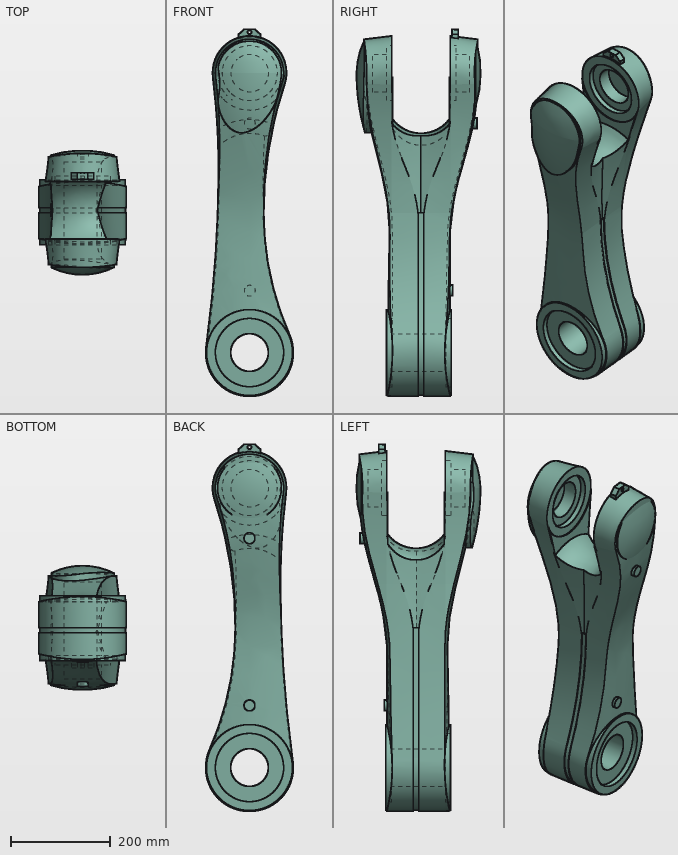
import cadquery as cq
import math

TOTAL_HEIGHT = 735.5
FOOT_DIAMETER = 176.0
FOOT_RADIUS = FOOT_DIAMETER / 2
HEAD_RADIUS = 74.0
HEAD_Z = 560.0

RIGHT_WAIST = (29.0, 279.5)
LEFT_WAIST = (-62.5, 368.0)

SHANK_BACK_Y = 58.0
SHANK_FRONT_Y = -63.0
FOOT_FRONT_Y = -68.0
HEAD_BACK_Y = 113.0
HEAD_FRONT_Y = -115.0
BACK_FLARE_Z = (228.0, 537.0)
FRONT_FLARE_Z = (243.0, 555.0)
FACE_BOTTOM_Z = -110.0
FACE_TOP_Z = 654.5
FACE_SECTIONS = 14
CROWN_RADIUS = 368.0
CROWN_HALF_WIDTH = 95.5

SLOT_HALF_WIDTH = 57.0
HEAD_FACE_Y = 58.0
SADDLE_Z = 439.0
SADDLE_RADIUS = 71.0
SADDLE_DROP = 26.0
DRAFT_START_Y = 59.0
DRAFT_ANGLE = 7.0
ARM_END_Y = 147.0

SCALLOP_SECTIONS = [(279.5, 6.0), (316.0, 12.5), (353.0, 24.0), (390.0, 39.0), (426.5, 51.5), (463.0, 59.0)]
RIGHT_SCALLOP_DEPTHS = [1.5, 3.0, 5.0, 9.0, 13.0, 16.0]
LEFT_SCALLOP_DEPTHS = [1.5, 1.5, 2.0, 3.0, 4.0, 4.5]
SCALLOP_REACH = 15.0

GROOVE_WIDTH = 10.0
GROOVE_DEPTH = 2.0
GROOVE_TOP_Z = 279.5

BOSS_RADIUS = 86.0
BOSS_BACK_Y = 61.0
BOSS_FRONT_Y = -69.0
BORE_RADIUS = 37.5
FOOT_RECESS_RADIUS = 68.5
HEAD_RECESS_RADIUS = 55.0
RECESS_DEPTH = 11.0
HEAD_BORE_DEPTH = 28.0

DOME_RADIUS = 64.0
DOME_BASE_Y = 88.0
BACK_DOME_Y = 120.0
BACK_DOME_CURVE = 213.0
CAP_Y = -129.5
CAP_CURVE = 140.0
CAP_LENGTH_CURVE = 426.5
CAP_SWEEP_ANGLE = 45.0
CAP_SPLIT_ANGLE = 10.0
CAP_TAIL = [(55.0, 510.0), (33.0, 469.0), (6.5, 446.5), (-19.0, 440.0), (-50.0, 462.0), (-62.5, 499.0)]

LUG_Y = (62.0, 75.0)
LUG_HALF_WIDTH = 22.0
LUG_ROOT_Z = 623.0
LUG_TOP_HALF_WIDTH = 10.0
LUG_SHOULDER_Z = 637.0
LUG_HOLE_RADIUS = 4.0
LUG_HOLE_Z = 641.0
LUG_TOP_Z = TOTAL_HEIGHT - FOOT_RADIUS

PLUGS = [(459.0, 112.5), (124.0, 64.0)]
PLUG_RADIUS = 11.0
PLUG_LENGTH = 22.0


def cylinder_y(radius, z, y_start, y_end):
    """Cylinder along Y at x = 0."""
    direction = cq.Vector(0, math.copysign(1, y_end - y_start), 0)
    start = cq.Vector(0, y_start, z)
    return cq.Workplane(cq.Solid.makeCylinder(radius, abs(y_end - y_start), start, direction))


def above(z):
    """Block that covers everything higher than z."""
    return cq.Workplane("XY", origin=(0, 0, z)).rect(TOTAL_HEIGHT, TOTAL_HEIGHT).extrude(TOTAL_HEIGHT)


def xz_plane(y):
    """Sketch plane with X right and Z up, extruding toward -Y."""
    return cq.Workplane("XZ", origin=(0, y, 0))


def flank_radius(waist, end_radius, end_z):
    """Radius of the arc upright at the waist and tangent to an end circle."""
    reach = abs(waist[0])
    height = end_z - waist[1]
    return (height**2 + reach**2 - end_radius**2) / (2 * (end_radius - reach))


def tangent_point(waist, end_radius, end_z):
    """Point where the flank arc meets the end circle."""
    radius = flank_radius(waist, end_radius, end_z)
    centre_x = waist[0] + math.copysign(radius, waist[0])
    share = end_radius / (radius + end_radius)
    return (centre_x * share, end_z + (waist[1] - end_z) * share)


def flank_x(waist, z):
    """X of a flank at height z."""
    end_radius, end_z = (HEAD_RADIUS, HEAD_Z) if z > waist[1] else (FOOT_RADIUS, 0)
    radius = flank_radius(waist, end_radius, end_z)
    bulge = radius - math.sqrt(radius**2 - (z - waist[1]) ** 2)
    return waist[0] + math.copysign(bulge, waist[0])


def flank_middle(waist, end_point):
    """Point on a flank halfway up between the waist and an end point."""
    z = (waist[1] + end_point[1]) / 2
    return (flank_x(waist, z), z)


def side_outline(y):
    """Closed outline of the bar: foot circle, head circle and hollow flanks."""
    foot_right = tangent_point(RIGHT_WAIST, FOOT_RADIUS, 0)
    head_right = tangent_point(RIGHT_WAIST, HEAD_RADIUS, HEAD_Z)
    head_left = tangent_point(LEFT_WAIST, HEAD_RADIUS, HEAD_Z)
    foot_left = tangent_point(LEFT_WAIST, FOOT_RADIUS, 0)
    return (
        xz_plane(y)
        .moveTo(*foot_right)
        .threePointArc(flank_middle(RIGHT_WAIST, foot_right), RIGHT_WAIST)
        .threePointArc(flank_middle(RIGHT_WAIST, head_right), head_right)
        .threePointArc((0, HEAD_Z + HEAD_RADIUS), head_left)
        .threePointArc(flank_middle(LEFT_WAIST, head_left), LEFT_WAIST)
        .threePointArc(flank_middle(LEFT_WAIST, foot_left), foot_left)
        .threePointArc((0, -FOOT_RADIUS), foot_right)
        .close()
    )


def make_blank():
    """Bar outline, straight in the middle and drafted toward the arm tips."""
    middle = side_outline(DRAFT_START_Y).extrude(2 * DRAFT_START_Y)
    draft_length = ARM_END_Y - DRAFT_START_Y
    front = side_outline(-DRAFT_START_Y).extrude(draft_length, taper=DRAFT_ANGLE)
    back = front.mirror("XZ")
    return middle.union(front).union(back)


def flare(z, z_range):
    """Smooth rise from 0 to 1 over a height range."""
    share = (z - z_range[0]) / (z_range[1] - z_range[0])
    share = min(max(share, 0), 1)
    return (1 - math.cos(math.pi * share)) / 2


def back_face_y(z):
    """Y of the back face at x = 0."""
    return SHANK_BACK_Y + (HEAD_BACK_Y - SHANK_BACK_Y) * flare(z, BACK_FLARE_Z)


def front_face_y(z):
    """Y of the front face at x = 0, leaning inward from the foot up to the flare."""
    lean = max(1 - max(z, 0) / FRONT_FLARE_Z[0], 0)
    shank_y = SHANK_FRONT_Y + (FOOT_FRONT_Y - SHANK_FRONT_Y) * lean
    return shank_y + (HEAD_FRONT_Y - SHANK_FRONT_Y) * flare(z, FRONT_FLARE_Z)


def make_crowned_slab():
    """Loft between the front and back faces, both slightly crowned across X."""
    sag = CROWN_RADIUS - math.sqrt(CROWN_RADIUS**2 - CROWN_HALF_WIDTH**2)
    spacing = (FACE_TOP_Z - FACE_BOTTOM_Z) / (FACE_SECTIONS - 1)
    wires = []
    for index in range(FACE_SECTIONS):
        z = FACE_BOTTOM_Z + index * spacing
        back_y = back_face_y(z)
        front_y = front_face_y(z)
        section = (
            cq.Workplane("XY", origin=(0, 0, z))
            .moveTo(-CROWN_HALF_WIDTH, front_y + sag)
            .threePointArc((0, front_y), (CROWN_HALF_WIDTH, front_y + sag))
            .lineTo(CROWN_HALF_WIDTH, back_y - sag)
            .threePointArc((0, back_y), (-CROWN_HALF_WIDTH, back_y - sag))
            .close()
        )
        wires.append(section.val())
    return cq.Workplane(cq.Solid.makeLoft(wires))


def make_cap_outline():
    """Teardrop outline of the front cap."""
    angle = math.radians(CAP_SPLIT_ANGLE)
    right = (DOME_RADIUS * math.cos(angle), HEAD_Z - DOME_RADIUS * math.sin(angle))
    left = (-right[0], 2 * HEAD_Z - right[1])
    down = (-math.sin(angle), -math.cos(angle))
    up = (-math.sin(angle), math.cos(angle))
    return (
        xz_plane(-DOME_BASE_Y)
        .moveTo(*left)
        .threePointArc((0, HEAD_Z + DOME_RADIUS), right)
        .spline(CAP_TAIL + [left], tangents=[down, up], includeCurrent=True)
        .close()
    )


def make_front_cap():
    """Teardrop cap, spherical above the head axis and stretched along Z below it."""
    prism = make_cap_outline().extrude(ARM_END_Y)
    sphere = cq.Workplane("XY").sphere(CAP_CURVE).translate((0, CAP_Y + CAP_CURVE, HEAD_Z))
    half_x = CAP_CURVE / math.sqrt(2)
    shoulder_y = CAP_Y + CAP_CURVE - half_x
    axis_y = CAP_Y + CAP_LENGTH_CURVE
    stretched = (
        cq.Workplane("XY", origin=(0, 0, HEAD_Z))
        .moveTo(-half_x, shoulder_y)
        .threePointArc((0, CAP_Y), (half_x, shoulder_y))
        .lineTo(half_x, 0)
        .lineTo(-half_x, 0)
        .close()
        .revolve(CAP_SWEEP_ANGLE, (0, axis_y, 0), (1, axis_y, 0))
    )
    lower_half = prism.intersect(stretched)
    upper_half = prism.intersect(sphere).intersect(above(HEAD_Z))
    return upper_half.union(lower_half)


def make_back_dome():
    """Shallow spherical dome on the back of the head."""
    sphere = cq.Workplane("XY").sphere(BACK_DOME_CURVE)
    sphere = sphere.translate((0, BACK_DOME_Y - BACK_DOME_CURVE, HEAD_Z))
    return cylinder_y(DOME_RADIUS, HEAD_Z, DOME_BASE_Y, ARM_END_Y).intersect(sphere)


def make_lug():
    """Pierced lug standing on the back arm."""
    thickness = LUG_Y[1] - LUG_Y[0]
    lug = (
        xz_plane(LUG_Y[1])
        .polyline([
            (-LUG_HALF_WIDTH, LUG_ROOT_Z),
            (LUG_HALF_WIDTH, LUG_ROOT_Z),
            (LUG_HALF_WIDTH, LUG_SHOULDER_Z),
            (LUG_TOP_HALF_WIDTH, LUG_TOP_Z),
            (-LUG_TOP_HALF_WIDTH, LUG_TOP_Z),
            (-LUG_HALF_WIDTH, LUG_SHOULDER_Z),
        ])
        .close()
        .extrude(thickness)
    )
    return lug.cut(cylinder_y(LUG_HOLE_RADIUS, LUG_HOLE_Z, *LUG_Y))


def make_slot():
    """Fork slot whose saddle floor is highest at x = 0 and falls toward both flanks."""
    side_z = SADDLE_Z + SADDLE_RADIUS - math.sqrt(SADDLE_RADIUS**2 - SLOT_HALF_WIDTH**2)
    reach = abs(LEFT_WAIST[0])
    path_radius = (reach**2 + SADDLE_DROP**2) / (2 * SADDLE_DROP)
    axis_z = SADDLE_Z - path_radius
    section = (
        cq.Workplane("YZ")
        .moveTo(-SLOT_HALF_WIDTH, side_z)
        .threePointArc((0, SADDLE_Z), (SLOT_HALF_WIDTH, side_z))
        .lineTo(SLOT_HALF_WIDTH, TOTAL_HEIGHT)
        .lineTo(-SLOT_HALF_WIDTH, TOTAL_HEIGHT)
        .close()
    )
    ring = section.revolve(360, (0, axis_z, 0), (1, axis_z, 0))
    return ring.intersect(above(LEFT_WAIST[1]))


def make_scallop(waist, depths):
    """V-shaped hollow on one flank, widening from the groove to the saddle."""
    outward = math.copysign(1, waist[0])
    wires = []
    for (z, half_width), depth in zip(SCALLOP_SECTIONS, depths):
        face_x = flank_x(waist, z)
        crease_x = face_x - outward * depth
        outer_x = face_x + outward * SCALLOP_REACH
        section = cq.Workplane("XY", origin=(0, 0, z)).polyline([
            (crease_x, 0),
            (face_x, half_width),
            (outer_x, half_width),
            (outer_x, -half_width),
            (face_x, -half_width),
        ])
        wires.append(section.close().val())
    return cq.Workplane(cq.Solid.makeLoft(wires))


def make_groove():
    """Shallow parting groove along the outline below the scallops."""
    outer = side_outline(GROOVE_WIDTH / 2).offset2D(GROOVE_DEPTH).extrude(GROOVE_WIDTH)
    core = side_outline(GROOVE_WIDTH / 2).offset2D(-GROOVE_DEPTH).extrude(GROOVE_WIDTH)
    return outer.cut(core).cut(above(GROOVE_TOP_Z))


body = make_blank().intersect(make_crowned_slab())
body = body.cut(make_groove())
body = body.union(cylinder_y(BOSS_RADIUS, 0, BOSS_FRONT_Y, BOSS_BACK_Y))
body = body.union(make_back_dome()).union(make_front_cap())

body = body.cut(make_slot())
body = body.cut(cylinder_y(HEAD_RADIUS, HEAD_Z, -HEAD_FACE_Y, HEAD_FACE_Y))
body = body.cut(make_scallop(RIGHT_WAIST, RIGHT_SCALLOP_DEPTHS))
body = body.cut(make_scallop(LEFT_WAIST, LEFT_SCALLOP_DEPTHS))

body = body.cut(cylinder_y(BORE_RADIUS, 0, BOSS_FRONT_Y, BOSS_BACK_Y))
body = body.cut(cylinder_y(FOOT_RECESS_RADIUS, 0, BOSS_FRONT_Y, BOSS_FRONT_Y + RECESS_DEPTH))
body = body.cut(cylinder_y(FOOT_RECESS_RADIUS, 0, BOSS_BACK_Y, BOSS_BACK_Y - RECESS_DEPTH))

for side in (-1, 1):
    inner_y = side * HEAD_FACE_Y
    recess_y = inner_y + side * RECESS_DEPTH
    body = body.cut(cylinder_y(HEAD_RECESS_RADIUS, HEAD_Z, inner_y, recess_y))
    body = body.cut(cylinder_y(BORE_RADIUS, HEAD_Z, recess_y, recess_y + side * HEAD_BORE_DEPTH))

body = body.union(make_lug())
for plug_z, plug_y in PLUGS:
    body = body.union(cylinder_y(PLUG_RADIUS, plug_z, plug_y - PLUG_LENGTH, plug_y))

result = body